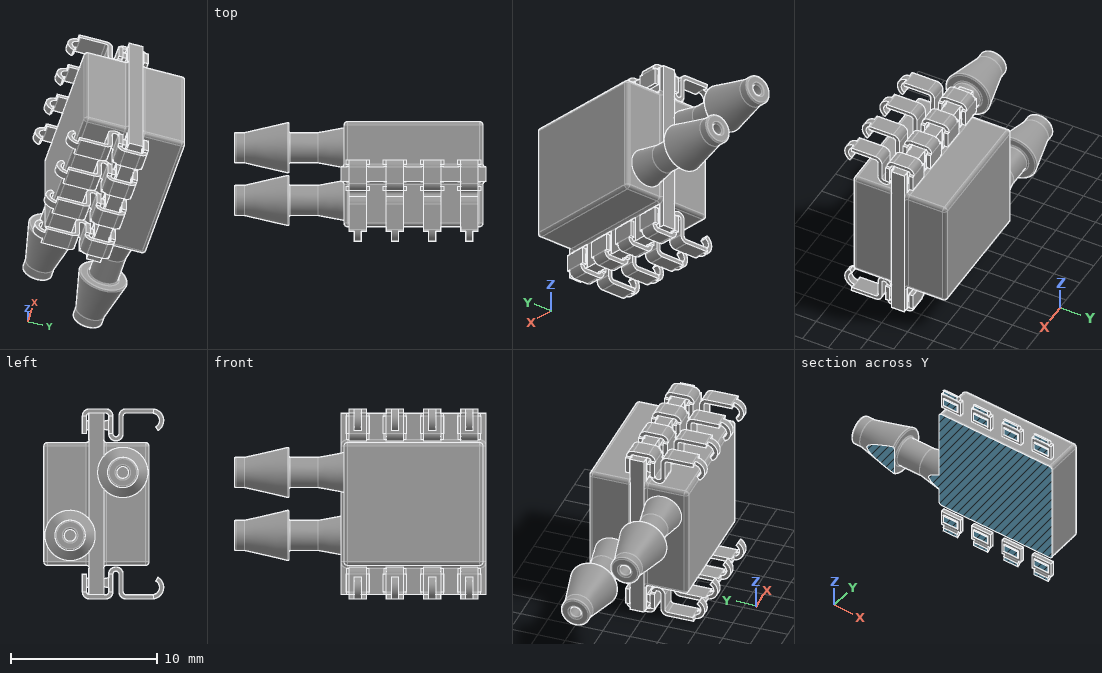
import cadquery as cq
import math


body_x, body_y, body_z = 9.5, 7.2, 8.4
body_edge_radius = 0.25
foot_radius = 0.2

board_x, board_y, board_z = 9.92, 1.0, 12.4
board_top = board_z / 2

pad_width = 1.52
pad_thickness = 0.03
pad_bottom = body_z / 2 + foot_radius

lead_count = 4
lead_pitch = 2.54
lead_thickness = 0.3
lead_width = 1.2
arm_width = 1.6
hook_width = 0.5
bend_radius = 0.35
hook_radius = 0.65
hook_sweep = 150
hook_wide_sweep = 8
clip_width = 2.1
clip_center_y = -0.08
hook_tip_y = -4.6
arm_length = 1.2

lead_center_z = board_top + lead_thickness / 2
arm_top = lead_center_z - bend_radius
arm_bottom = arm_top - arm_length
rear_arm_y = clip_center_y + (clip_width - lead_thickness) / 2
front_arm_y = clip_center_y - (clip_width - lead_thickness) / 2
riser_y = front_arm_y - 2 * bend_radius
hook_center_y = hook_tip_y + hook_radius + lead_thickness / 2
hook_center_z = lead_center_z - hook_radius

solder_z = 5.38
solder_board_height = 0.56
solder_arm_height = 0.76

port_overall_x = 17.2
port_tip_x = board_x / 2 - port_overall_x
port_offset_y = 1.8
port_offset_z = 2.15
tip_radius = 1.04
barb_radius = 1.72
flare_radius = 1.37
barb_start = 0.7
barb_end = 3.74
flare_start = 5.72
port_base = -body_x / 2 - port_tip_x
port_embed = 0.25
port_round = 0.1
bore_radius = 0.4
bore_entry_round = 0.13
bore_depth = port_base


def make_housing():
    """Rounded housing with concave feet where it meets the board."""
    body = cq.Workplane("XY").box(body_x, body_y, body_z).edges().fillet(body_edge_radius)
    board = cq.Workplane("XY").box(board_x, board_y, board_z)
    housing = body.union(board)
    margin = 0.01
    face_positions = [side * board_y / 2 for side in (-1, 1)]
    for face_y in face_positions:
        foot_zone = cq.selectors.BoxSelector(
            (-body_x / 2 - margin, face_y - margin, -body_z / 2 - margin),
            (body_x / 2 + margin, face_y + margin, body_z / 2 + margin),
        )
        housing = housing.edges(foot_zone).fillet(foot_radius)
    return housing


def make_port():
    """Barbed port with a blind bore, tip at the origin and axis along +X."""
    profile = (
        cq.Workplane("XY")
        .lineTo(0, tip_radius - port_round)
        .radiusArc((port_round, tip_radius), port_round)
        .lineTo(barb_start, tip_radius)
        .lineTo(barb_end - port_round, barb_radius)
        .radiusArc((barb_end, barb_radius - port_round), port_round)
        .lineTo(barb_end, tip_radius + port_round)
        .radiusArc((barb_end + port_round, tip_radius), -port_round)
        .lineTo(flare_start, tip_radius)
        .lineTo(port_base, flare_radius)
        .lineTo(port_base + port_embed, flare_radius)
        .lineTo(port_base + port_embed, 0)
        .close()
    )
    return profile.revolve(360, (0, 0, 0), (1, 0, 0))


def make_bore():
    """Bore with a rounded entry, mouth at the origin and axis along +X."""
    profile = (
        cq.Workplane("XY")
        .lineTo(0, bore_radius + bore_entry_round)
        .radiusArc((bore_entry_round, bore_radius), -bore_entry_round)
        .lineTo(bore_depth, bore_radius)
        .lineTo(bore_depth, 0)
        .close()
    )
    return profile.revolve(360, (0, 0, 0), (1, 0, 0))


def hook_point(angle):
    """Point (y, z) on the hook centreline, angle in degrees past its top."""
    turn = math.radians(angle)
    return hook_center_y - hook_radius * math.sin(turn), hook_center_z + hook_radius * math.cos(turn)


def hook_arc(path, sweep):
    return path.threePointArc(hook_point(sweep / 2), hook_point(sweep))


def make_upper_lead():
    """One lead on the top board edge, centred on x = 0."""
    diagonal = bend_radius * math.sqrt(0.5)
    rear_bend_y = rear_arm_y - bend_radius
    front_bend_y = front_arm_y + bend_radius
    loop_y = front_arm_y - bend_radius
    riser_bend_y = riser_y - bend_radius

    path = (
        cq.Workplane("YZ")
        .moveTo(rear_arm_y, arm_bottom)
        .lineTo(rear_arm_y, arm_top)
        .threePointArc((rear_bend_y + diagonal, arm_top + diagonal), (rear_bend_y, lead_center_z))
        .lineTo(front_bend_y, lead_center_z)
        .threePointArc((front_bend_y - diagonal, arm_top + diagonal), (front_arm_y, arm_top))
        .lineTo(front_arm_y, arm_bottom)
        .threePointArc((loop_y, arm_bottom - bend_radius), (riser_y, arm_bottom))
        .lineTo(riser_y, arm_top)
        .threePointArc((riser_bend_y + diagonal, arm_top + diagonal), (riser_bend_y, lead_center_z))
        .lineTo(hook_center_y, lead_center_z)
    )
    strip = (
        cq.Workplane("XY", origin=(0, rear_arm_y, arm_bottom))
        .rect(lead_width, lead_thickness)
        .sweep(hook_arc(path, hook_wide_sweep))
    )
    hook = (
        cq.Workplane("XZ", origin=(0, hook_center_y, lead_center_z))
        .rect(hook_width, lead_thickness)
        .sweep(hook_arc(cq.Workplane("YZ").moveTo(hook_center_y, lead_center_z), hook_sweep))
    )
    lead = strip.union(hook)
    for arm_y in (rear_arm_y, front_arm_y):
        arm = cq.Workplane("XY").box(arm_width, lead_thickness, arm_length)
        lead = lead.union(arm.translate((0, arm_y, arm_bottom + arm_length / 2)))
    return lead


def make_solder(face_y, arm_y):
    """Wedge of solder that grows taller from the board face to the clip arm."""
    return (
        cq.Workplane("YZ")
        .moveTo(face_y, solder_z - solder_board_height / 2)
        .lineTo(face_y, solder_z + solder_board_height / 2)
        .lineTo(arm_y, solder_z + solder_arm_height / 2)
        .lineTo(arm_y, solder_z - solder_arm_height / 2)
        .close()
        .extrude(lead_width / 2, both=True)
    )


def make_upper_contact():
    """Lead with its board pads and solder joints, centred on x = 0."""
    pad_height = board_top - pad_bottom
    pads = (
        cq.Workplane("XY")
        .box(pad_width, board_y + 2 * pad_thickness, pad_height)
        .translate((0, 0, pad_bottom + pad_height / 2))
    )
    return (
        make_upper_lead()
        .union(pads)
        .union(make_solder(board_y / 2, rear_arm_y))
        .union(make_solder(-board_y / 2, front_arm_y))
    )


result = make_housing()

for side in (-1, 1):
    port_position = (port_tip_x, side * port_offset_y, -side * port_offset_z)
    result = result.union(make_port().translate(port_position))
    result = result.cut(make_bore().translate(port_position))

upper_contact = make_upper_contact()
lower_contact = upper_contact.mirror("XY")
for index in range(lead_count):
    lead_x = (index - (lead_count - 1) / 2) * lead_pitch
    result = result.union(upper_contact.translate((lead_x, 0, 0)))
    result = result.union(lower_contact.translate((lead_x, 0, 0)))